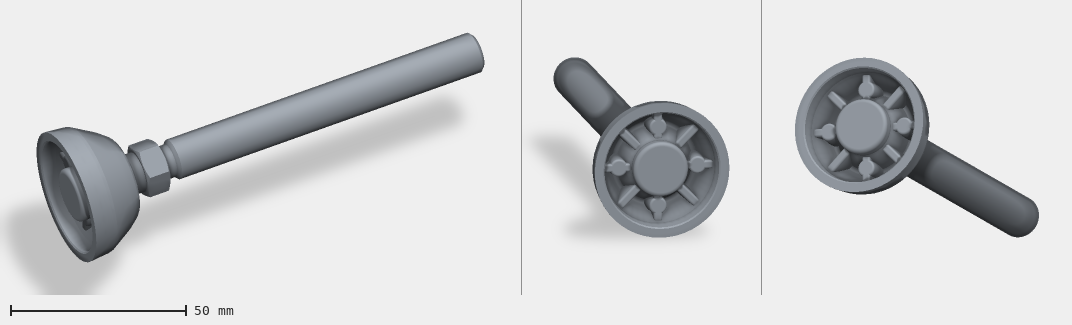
import cadquery as cq
import math


FULL_TURN = 360.0

TOTAL_LENGTH = 129.6
ROD_RADIUS = 6.0
ROD_START = 33.7
ROD_END_CHAMFER = 1.0
GROOVE_RADIUS = 4.9
GROOVE_BOTTOM = 30.5
GROOVE_FILLET = 0.5
HEX_START = 22.4
HEX_ACROSS_FLATS = 14.0
HEX_LOWER_FACE_RADIUS = 6.7
HEX_CHAMFER_ANGLE = 25.0
BALL_RADIUS = 8.0
BALL_CENTER = 14.3

FOOT_DIAMETER = 39.0
FOOT_RADIUS = FOOT_DIAMETER / 2
FOOT_HEIGHT = 18.0
RIM_BAND_HEIGHT = 0.4
SKIRT_TOP = (18.9, 6.6)
DOME_MIDDLE = (16.0, 12.2)
FOOT_TOP_RADIUS = 11.5
FOOT_FILLET = 3.4

MOUTH_RADIUS = 17.0
MOUTH_CHAMFER = 0.4
WALL_END = (16.1, 4.4)
CAVITY_DOME_START = (15.7, 5.5)
CAVITY_DOME_MIDDLE = (14.3, 8.5)
CAVITY_DOME_END = (12.5, 11.7)
CAVITY_FLOOR_MIDDLE = (11.8, 12.0)
HUB_CONE_OUTER = (11.0, 11.8)
PAD_RADIUS = 7.9
HUB_CONE_START = 4.7
PAD_HEIGHT = 1.0
PAD_FILLET = 1.2

RIB_HEIGHT = 5.5
RIB_DEPTH = 7.8
RIB_WIDTH = 2.3
RIB_INNER_RADIUS = 6.5
RIB_OUTER_RADIUS = 16.8
RIB_FILLET = 0.6
RIB_COUNT = 8
PIN_RADIUS = 2.5
PIN_PLACE_RADIUS = 11.4
DRAFT_ANGLE = 4.0


def turned(profile):
    """Solid of revolution about Y from a closed profile of radius and height."""
    return profile.close().revolve(FULL_TURN, (0, 0, 0), (0, 1, 0))


def plane_at(height):
    """Workplane across the axis, facing +Y."""
    return cq.Workplane(cq.Plane(origin=(0, height, 0), xDir=(0, 0, 1), normal=(0, 1, 0)))


def make_ball():
    return cq.Workplane("XY").sphere(BALL_RADIUS).translate((0, BALL_CENTER, 0))


def make_hexagon():
    """Hexagon with flats facing X, its corners chamfered by a cone at both ends."""
    corner_radius = HEX_ACROSS_FLATS / math.sqrt(3)
    slope = math.tan(math.radians(HEX_CHAMFER_ANGLE))
    lower_chamfer = (corner_radius - HEX_LOWER_FACE_RADIUS) * slope
    upper_chamfer = (corner_radius - GROOVE_RADIUS) * slope
    prism = plane_at(HEX_START).polygon(6, 2 * corner_radius).extrude(GROOVE_BOTTOM - HEX_START)
    envelope = turned(
        cq.Workplane("XY")
        .moveTo(0, HEX_START)
        .lineTo(HEX_LOWER_FACE_RADIUS, HEX_START)
        .lineTo(corner_radius, HEX_START + lower_chamfer)
        .lineTo(corner_radius, GROOVE_BOTTOM - upper_chamfer)
        .lineTo(GROOVE_RADIUS, GROOVE_BOTTOM)
        .lineTo(0, GROOVE_BOTTOM)
    )
    return prism.intersect(envelope)


def make_spindle():
    """Rod, relief groove, hexagon, neck and ball in one piece."""
    groove_depth = ROD_RADIUS - GROOVE_RADIUS
    shaft = turned(
        cq.Workplane("XY")
        .moveTo(0, BALL_CENTER)
        .lineTo(ROD_RADIUS, BALL_CENTER)
        .lineTo(ROD_RADIUS, HEX_START)
        .lineTo(GROOVE_RADIUS, HEX_START)
        .lineTo(GROOVE_RADIUS, ROD_START - groove_depth)
        .lineTo(ROD_RADIUS, ROD_START)
        .lineTo(ROD_RADIUS, TOTAL_LENGTH - ROD_END_CHAMFER)
        .lineTo(ROD_RADIUS - ROD_END_CHAMFER, TOTAL_LENGTH)
        .lineTo(0, TOTAL_LENGTH)
    )
    body = shaft.union(make_hexagon())
    groove_edge = cq.selectors.BoxSelector(
        (-ROD_RADIUS, GROOVE_BOTTOM - GROOVE_FILLET, -ROD_RADIUS),
        (ROD_RADIUS, GROOVE_BOTTOM + GROOVE_FILLET, ROD_RADIUS),
        boundingbox=True,
    )
    return body.edges(groove_edge).fillet(GROOVE_FILLET).union(make_ball())


def make_foot_outside():
    """Rim, slightly conical skirt and arched dome, rounded where the dome starts and ends."""
    body = turned(
        cq.Workplane("XY")
        .lineTo(FOOT_RADIUS, 0)
        .lineTo(FOOT_RADIUS, RIM_BAND_HEIGHT)
        .lineTo(*SKIRT_TOP)
        .threePointArc(DOME_MIDDLE, (FOOT_TOP_RADIUS, FOOT_HEIGHT))
        .lineTo(0, FOOT_HEIGHT)
    )
    dome = body.faces(cq.selectors.NearestToPointSelector((*DOME_MIDDLE, 0)))
    return dome.edges("%CIRCLE").fillet(FOOT_FILLET)


def make_rib(has_pin):
    """Drafted radial rib along Z with rounded lower edges, carrying a round pin if asked."""
    rib = (
        plane_at(RIB_HEIGHT)
        .center((RIB_INNER_RADIUS + RIB_OUTER_RADIUS) / 2, 0)
        .rect(RIB_OUTER_RADIUS - RIB_INNER_RADIUS, RIB_WIDTH)
        .extrude(RIB_DEPTH, taper=-DRAFT_ANGLE)
    )
    if has_pin:
        pin = (
            plane_at(RIB_HEIGHT)
            .center(PIN_PLACE_RADIUS, 0)
            .circle(PIN_RADIUS)
            .extrude(RIB_DEPTH, taper=-DRAFT_ANGLE)
        )
        rib = rib.union(pin)
    return rib.faces("<Y").edges().fillet(RIB_FILLET)


def cut_ribs(cavity):
    """Cavity without the space of the ribs, pins standing on every second rib."""
    for index in range(RIB_COUNT):
        rib = make_rib(has_pin=index % 2 == 0)
        cavity = cavity.cut(rib.rotate((0, 0, 0), (0, 1, 0), index * FULL_TURN / RIB_COUNT))
    return cavity


def make_cavity():
    """Ring-shaped hollow under the foot, around a round pad on the axis."""
    ring = turned(
        cq.Workplane("XY")
        .lineTo(MOUTH_RADIUS, 0)
        .lineTo(MOUTH_RADIUS - MOUTH_CHAMFER, MOUTH_CHAMFER)
        .lineTo(*WALL_END)
        .lineTo(*CAVITY_DOME_START)
        .threePointArc(CAVITY_DOME_MIDDLE, CAVITY_DOME_END)
        .threePointArc(CAVITY_FLOOR_MIDDLE, HUB_CONE_OUTER)
        .lineTo(PAD_RADIUS, HUB_CONE_START)
        .lineTo(PAD_RADIUS, PAD_HEIGHT + PAD_FILLET)
        .radiusArc((PAD_RADIUS - PAD_FILLET, PAD_HEIGHT), PAD_FILLET)
        .lineTo(0, PAD_HEIGHT)
    )
    return cut_ribs(ring)


def make_foot(spindle):
    """Hollow foot whose ball socket closely fits the spindle."""
    return make_foot_outside().cut(make_cavity()).cut(spindle)


spindle = make_spindle()
foot = make_foot(spindle)

result = cq.Compound.makeCompound([spindle.val(), foot.val()])